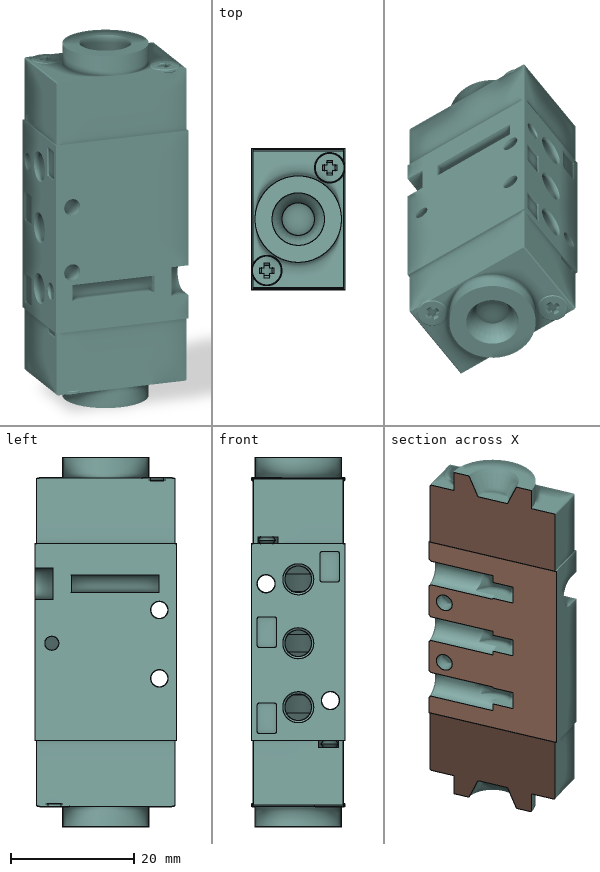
import cadquery as cq

TOTAL_HEIGHT = 60.0
BODY_WIDTH = 15.2
BODY_DEPTH = 23.0
BODY_HEIGHT = 32.0

CAP_WIDTH = 14.65
CAP_DEPTH = 22.55
CAP_EDGE_CHAMFER = 0.2
BUTTON_RADIUS = 7.0
BUTTON_HEIGHT = 3.35
CONE_DEPTH = 3.5
CONE_TOP_RADIUS = 4.25
CONE_FLOOR_RADIUS = 2.65

SCREW_X = 5.1
SCREW_Y = 8.35
HEAD_RADIUS = 2.45
HEAD_HEIGHT = 0.6
HEAD_CHAMFER = 0.1
HEAD_PROUD = 0.1
SHANK_RADIUS = 1.0
RIDGE_RADIUS = 1.45
SCREW_REACH = 3.6
CROSS_LENGTH = 2.4
CROSS_FLOOR_LENGTH = 1.7
CROSS_WIDTH = 0.9
CROSS_DEPTH = 0.5

WINDOW_X = 4.9
WINDOW_WIDTH = 3.3
WINDOW_HEIGHT = 1.1

MIDDLE_Z = -0.2
PORT_PITCH = 10.4
PORT_RADIUS = 2.15
PORT_CHAMFER = 0.35
CHAMBER_RADIUS = 3.6
CHAMBER_HEIGHT = 2.9
CHAMBER_PITCH = 9.85

MOUNT_X = 5.2
MOUNT_Z = 9.5
MOUNT_RADIUS = 1.45
SLOT_HEIGHT = 2 * MOUNT_RADIUS
SLOT_FRONT_Y = -8.65
SLOT_BACK_Y = 5.6
SEAT_HEIGHT = 5.05
SEAT_Y = 8.6

SIDE_HOLE_RADIUS = 1.4
SIDE_HOLE_Y = -8.7
SIDE_HOLE_UPPER_Z = 5.2
SIDE_HOLE_LOWER_Z = -5.9
BLIND_HOLE_RADIUS = 1.15
BLIND_HOLE_Y = 8.75
BLIND_HOLE_DEPTH = 3.0

LABEL_WIDTH = 3.1
LABEL_HEIGHT = 4.9
LABEL_DEPTH = 0.3
LABEL_CORNER = 0.3
LABEL_X = 5.1
LABEL_CENTERS = [(LABEL_X, 12.25), (-LABEL_X, 1.6), (-LABEL_X, -12.35)]

BODY_TOP = BODY_HEIGHT / 2
BODY_FRONT = -BODY_DEPTH / 2
BODY_BACK = BODY_DEPTH / 2
BODY_LEFT = -BODY_WIDTH / 2
CAP_TOP = TOTAL_HEIGHT / 2 - BUTTON_HEIGHT
CAP_HEIGHT = CAP_TOP - BODY_TOP
CAP_FRONT = -CAP_DEPTH / 2
HEAD_TOP = CAP_TOP + HEAD_PROUD
HEAD_BOTTOM = HEAD_TOP - HEAD_HEIGHT
SHANK_END = BODY_TOP - SCREW_REACH
SCREW_PLACES = [(-SCREW_X, -SCREW_Y), (SCREW_X, SCREW_Y)]


def turned_over(shape):
    """Half turn about Y, which takes the upper half of the valve to the lower half."""
    return shape.rotate((0, 0, 0), (0, 1, 0), 180)


def cylinder_along_y(radius, x, z, y_start, y_end):
    plane = cq.Plane(origin=(x, y_start, z), xDir=(1, 0, 0), normal=(0, 1, 0))
    return cq.Workplane(plane).circle(radius).extrude(y_end - y_start)


def hole_along_x(radius, y, z, length):
    """Hole cutter that starts at the -X face."""
    plane = cq.Plane(origin=(BODY_LEFT, y, z), xDir=(0, 1, 0), normal=(1, 0, 0))
    return cq.Workplane(plane).circle(radius).extrude(length)


def screw_outline():
    """Revolved screw without its cross recess; a ridge on the shank sits in the cap window."""
    ridge_middle = BODY_TOP + WINDOW_HEIGHT / 2
    head_rim = HEAD_RADIUS - HEAD_CHAMFER
    return (
        cq.Workplane("XZ")
        .moveTo(0, SHANK_END)
        .lineTo(SHANK_RADIUS, SHANK_END)
        .lineTo(SHANK_RADIUS, BODY_TOP)
        .lineTo(RIDGE_RADIUS, ridge_middle)
        .lineTo(SHANK_RADIUS, BODY_TOP + WINDOW_HEIGHT)
        .lineTo(SHANK_RADIUS, HEAD_BOTTOM)
        .lineTo(head_rim, HEAD_BOTTOM)
        .lineTo(HEAD_RADIUS, HEAD_BOTTOM + HEAD_CHAMFER)
        .lineTo(HEAD_RADIUS, HEAD_TOP - HEAD_CHAMFER)
        .lineTo(head_rim, HEAD_TOP)
        .lineTo(0, HEAD_TOP)
        .close()
        .revolve(360, (0, 0, 0), (0, 1, 0))
    )


def cross_recess():
    """Two crossed arms whose ends slope inwards to the floor."""
    arm = (
        cq.Workplane("XZ", origin=(0, CROSS_WIDTH / 2, HEAD_TOP))
        .moveTo(-CROSS_LENGTH / 2, 0)
        .lineTo(CROSS_LENGTH / 2, 0)
        .lineTo(CROSS_FLOOR_LENGTH / 2, -CROSS_DEPTH)
        .lineTo(-CROSS_FLOOR_LENGTH / 2, -CROSS_DEPTH)
        .close()
        .extrude(CROSS_WIDTH)
    )
    return arm.union(arm.rotate((0, 0, 0), (0, 0, 1), 90))


def make_screw(x, y):
    return screw_outline().cut(cross_recess()).translate((x, y, 0))


def button():
    """Round boss on the cap."""
    return cq.Workplane("XY", origin=(0, 0, CAP_TOP)).circle(BUTTON_RADIUS).extrude(BUTTON_HEIGHT)


def button_cone():
    """Conical hollow with a flat floor."""
    return (
        cq.Workplane("XY", origin=(0, 0, TOTAL_HEIGHT / 2 - CONE_DEPTH))
        .circle(CONE_FLOOR_RADIUS)
        .workplane(offset=CONE_DEPTH)
        .circle(CONE_TOP_RADIUS)
        .loft()
    )


def screw_window():
    """U-shaped opening from the cap front round the front screw."""
    base = cq.Workplane("XY", origin=(0, 0, BODY_TOP))
    channel_length = -SCREW_Y - CAP_FRONT
    channel = (
        base.center(-WINDOW_X, (CAP_FRONT - SCREW_Y) / 2)
        .rect(WINDOW_WIDTH, channel_length)
        .extrude(WINDOW_HEIGHT)
    )
    round_end = base.center(-WINDOW_X, -SCREW_Y).circle(WINDOW_WIDTH / 2).extrude(WINDOW_HEIGHT)
    return channel.union(round_end)


def cap_block():
    """Cap without its button; the front and back top edges are chamfered."""
    return (
        cq.Workplane("XY", origin=(0, 0, BODY_TOP))
        .rect(CAP_WIDTH, CAP_DEPTH)
        .extrude(CAP_HEIGHT)
        .faces(">Z")
        .edges("|X")
        .chamfer(CAP_EDGE_CHAMFER)
    )


def make_cap():
    cap = cap_block().union(button()).cut(button_cone()).cut(screw_window())
    for x, y in SCREW_PLACES:
        cap = cap.cut(screw_outline().translate((x, y, 0)))
    return cap


def port(z):
    """Blind front port reaching the spool axis, with a chamfered mouth."""
    mouth_radius = PORT_RADIUS + PORT_CHAMFER
    return (
        cq.Workplane("XY")
        .lineTo(PORT_RADIUS, 0)
        .lineTo(PORT_RADIUS, BODY_FRONT + PORT_CHAMFER)
        .lineTo(mouth_radius, BODY_FRONT)
        .lineTo(0, BODY_FRONT)
        .close()
        .revolve(360, (0, 0, 0), (0, 1, 0))
        .translate((0, 0, z))
    )


def chamber(z):
    """Round cavity on the spool axis."""
    middle = cq.Workplane("XY", origin=(0, 0, z))
    return middle.circle(CHAMBER_RADIUS).extrude(CHAMBER_HEIGHT / 2, both=True)


def side_channel(height, y_start, y_end):
    """Round-bottomed slot about the mounting hole, open to the -X face."""
    floor = cylinder_along_y(height / 2, -MOUNT_X, MOUNT_Z, y_start, y_end)
    opening = (
        cq.Workplane("XY", origin=(BODY_LEFT, y_start, MOUNT_Z))
        .box(-MOUNT_X - BODY_LEFT, y_end - y_start, height, centered=(False, False, True))
    )
    return floor.union(opening)


def mounting_hole():
    hole = cylinder_along_y(MOUNT_RADIUS, -MOUNT_X, MOUNT_Z, BODY_FRONT, BODY_BACK)
    slot = side_channel(SLOT_HEIGHT, SLOT_FRONT_Y, SLOT_BACK_Y)
    head_seat = side_channel(SEAT_HEIGHT, SEAT_Y, BODY_BACK)
    return hole.union(slot).union(head_seat)


def label_panel(x, z):
    return (
        cq.Workplane("XY")
        .box(LABEL_WIDTH, LABEL_DEPTH, LABEL_HEIGHT, centered=(True, False, True))
        .edges("|Y")
        .fillet(LABEL_CORNER)
        .translate((x, BODY_FRONT, z))
    )


def make_housing(screws):
    housing = cq.Workplane("XY").box(BODY_WIDTH, BODY_DEPTH, BODY_HEIGHT)
    for row in (-1, 0, 1):
        housing = housing.cut(port(MIDDLE_Z + row * PORT_PITCH))
        housing = housing.cut(chamber(MIDDLE_Z + row * CHAMBER_PITCH))
    for cutter in (mounting_hole(), turned_over(mounting_hole())):
        housing = housing.cut(cutter)
    for z in (SIDE_HOLE_UPPER_Z, SIDE_HOLE_LOWER_Z):
        housing = housing.cut(hole_along_x(SIDE_HOLE_RADIUS, SIDE_HOLE_Y, z, BODY_WIDTH))
    housing = housing.cut(hole_along_x(BLIND_HOLE_RADIUS, BLIND_HOLE_Y, MIDDLE_Z, BLIND_HOLE_DEPTH))
    for x, z in LABEL_CENTERS:
        housing = housing.cut(label_panel(x, z))
    for screw in screws:
        housing = housing.cut(screw)
    return housing


upper_screws = [make_screw(x, y) for x, y in SCREW_PLACES]
lower_screws = [turned_over(screw) for screw in upper_screws]
screws = upper_screws + lower_screws

upper_cap = make_cap()
lower_cap = turned_over(upper_cap)
housing = make_housing(screws)

bodies = [housing, upper_cap, lower_cap] + screws
result = cq.Compound.makeCompound([body.val() for body in bodies])